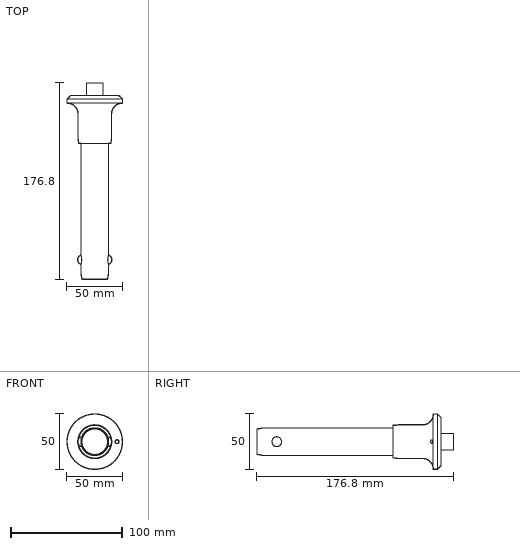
import cadquery as cq
import math


shank_radius = 12.5
shank_length = 122.3
tip_radius = 11.5
tip_length = 5.3

ball_radius = 4.5
ball_reach = 15.5
ball_to_tip = 17.8

collar_radius = 14.8
collar_length = 1.7
neck_radius = 15.25
neck_taper_length = 3.2
neck_length = 21.8
cove_radius = 9.5
flange_radius = 25.0
flange_rim = 3.8
flange_chamfer = 3.2

button_radius = 7.5
overall_length = 176.8

lanyard_hole_diameter = 3.2
lanyard_hole_x = 20.0

tip_y = -shank_length
taper_start_y = collar_length
neck_start_y = taper_start_y + neck_taper_length
cove_start_y = neck_start_y + neck_length
flange_start_y = cove_start_y + cove_radius
chamfer_start_y = flange_start_y + flange_rim
flange_end_y = chamfer_start_y + flange_chamfer
button_end_y = tip_y + overall_length


def make_turned_body():
    """Shank, handle and button as one half outline revolved about Y."""
    cove_middle = cove_radius * math.sin(math.radians(45))
    cove_center_x = neck_radius + cove_radius
    outline = (
        cq.Workplane("XY")
        .moveTo(0, tip_y)
        .lineTo(tip_radius, tip_y)
        .lineTo(shank_radius, tip_y + tip_length)
        .lineTo(shank_radius, 0)
        .lineTo(collar_radius, 0)
        .lineTo(collar_radius, taper_start_y)
        .lineTo(neck_radius, neck_start_y)
        .lineTo(neck_radius, cove_start_y)
        .threePointArc(
            (cove_center_x - cove_middle, cove_start_y + cove_middle),
            (cove_center_x, flange_start_y),
        )
        .lineTo(flange_radius, flange_start_y)
        .lineTo(flange_radius, chamfer_start_y)
        .lineTo(flange_radius - flange_chamfer, flange_end_y)
        .lineTo(button_radius, flange_end_y)
        .lineTo(button_radius, button_end_y)
        .lineTo(0, button_end_y)
        .close()
    )
    return outline.revolve(360, (0, 0, 0), (0, 1, 0))


def make_ball(side):
    """Locking ball partly sunk in the shank, on the +X (side = 1) or -X (side = -1) flank."""
    center_x = side * (ball_reach - ball_radius)
    return cq.Workplane("XY").sphere(ball_radius).translate((center_x, tip_y + ball_to_tip, 0))


def make_lanyard_hole():
    """Cutter for the hole that runs along Y through the cove and flange."""
    hole_length = flange_end_y - cove_start_y
    return (
        cq.Workplane("XZ", origin=(lanyard_hole_x, flange_end_y, 0))
        .circle(lanyard_hole_diameter / 2)
        .extrude(hole_length)
    )


result = make_turned_body().cut(make_lanyard_hole())
for side in (1, -1):
    result = result.union(make_ball(side))